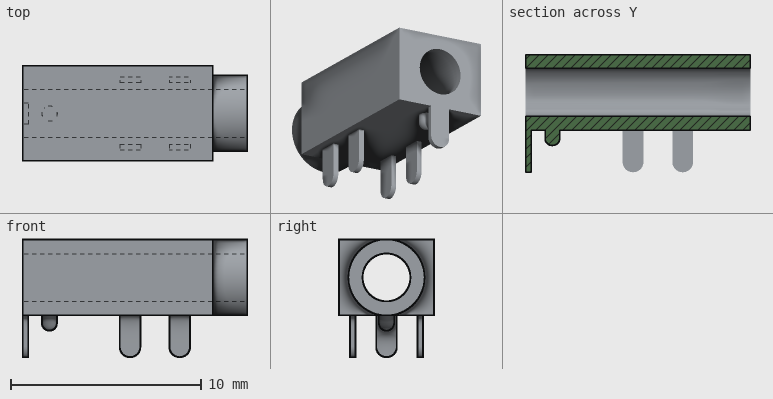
import cadquery as cq

body_length = 10.0
body_width = 5.0
body_height = 4.0

total_length = 11.8
nose_diameter = 4.0
bore_diameter = 2.5
axis_height = body_height / 2

pin_width = 1.1
pin_thickness = 0.3
pin_length = 2.2
side_pin_offset = 1.77
side_pin_x_places = (5.64, 8.25)

peg_diameter = 0.8
peg_length = 0.8
peg_x = 1.4


def x_cylinder(diameter, start, end):
    """Cylinder on the bore axis between two X positions."""
    return (
        cq.Workplane("YZ", origin=(start, 0, axis_height))
        .circle(diameter / 2)
        .extrude(end - start)
    )


def flat_pin(plane):
    """Pin hanging below Z = 0, centred across the thickness on the given plane."""
    half_width = pin_width / 2
    shoulder = half_width - pin_length
    return (
        cq.Workplane(plane)
        .moveTo(-half_width, 0)
        .lineTo(-half_width, shoulder)
        .threePointArc((0, -pin_length), (half_width, shoulder))
        .lineTo(half_width, 0)
        .close()
        .extrude(pin_thickness / 2, both=True)
    )


def locating_peg():
    """Peg revolved about its own vertical axis, ending in a hemisphere."""
    radius = peg_diameter / 2
    shoulder = radius - peg_length
    return (
        cq.Workplane("XZ", origin=(peg_x, 0, 0))
        .lineTo(radius, 0)
        .lineTo(radius, shoulder)
        .radiusArc((0, -peg_length), radius)
        .close()
        .revolve(360, (0, 0), (0, 1))
    )


housing = cq.Workplane("XY").box(body_length, body_width, body_height, centered=(False, True, False))
nose = x_cylinder(nose_diameter, body_length, total_length)
bore = x_cylinder(bore_diameter, 0, total_length)

result = housing.union(nose).cut(bore)
result = result.union(flat_pin("YZ").translate((pin_thickness / 2, 0, 0)))
for x in side_pin_x_places:
    for y in (-side_pin_offset, side_pin_offset):
        result = result.union(flat_pin("XZ").translate((x, y, 0)))
result = result.union(locating_peg())